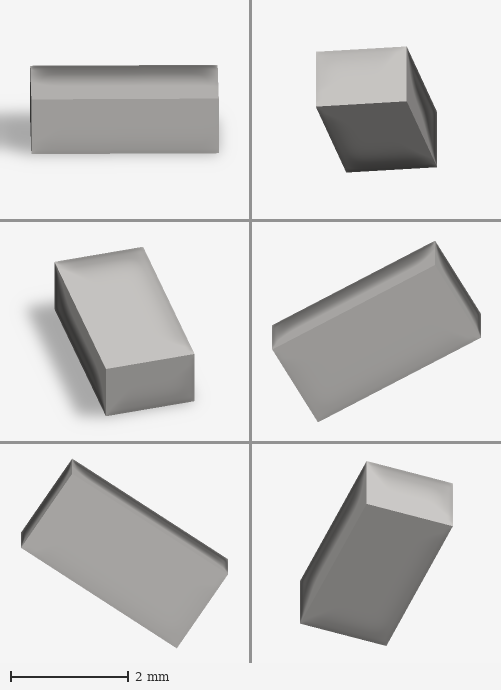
import cadquery as cq
import math

span = 3.37
length = 3.195
height = 1.0
turn_angle = 45.0

width = span * math.sqrt(2) - length

result = (
    cq.Workplane("XY")
    .box(length, width, height)
    .rotate((0, 0, 0), (0, 0, 1), turn_angle)
)